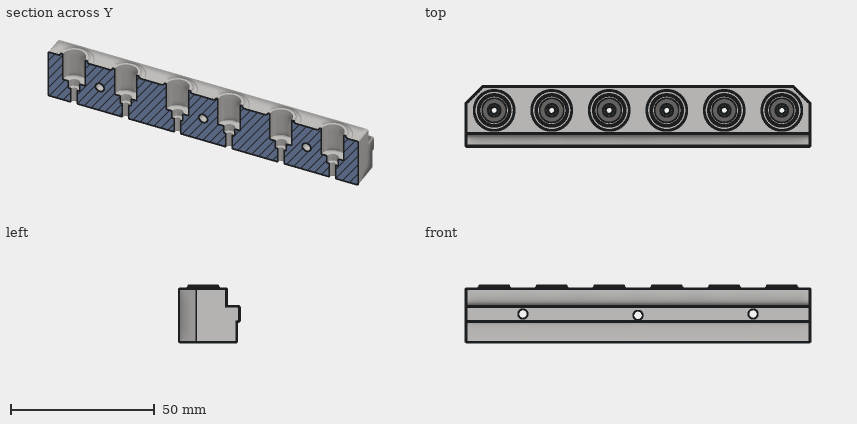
import cadquery as cq

length = 120.0
depth = 21.25
body_height = 19.0
nose_projection = 1.0
upper_depth = 16.75
nose_bottom = 7.1
nose_top = 12.9
corner_cut = 6.0
edge_chamfer = 0.4
nose_chamfer = 0.6

port_count = 6
port_pitch = 20.0
port_from_back = 8.5
collar_height = 1.0
collar_diameter = 10.45
collar_flare = 0.5
groove_diameter = 13.9
groove_depth = 0.2
socket_diameter = 8.45
socket_floor = 9.0
step_diameter = 4.1
step_floor = 6.0
drain_diameter = 2.3
port_chamfer = 0.2

cross_hole_diameter = 3.2
side_hole_offset = 40.0
side_hole_height = 10.0
middle_hole_height = 9.5

lower_depth = depth - nose_projection
collar_top = body_height + collar_height


def make_body():
    """Stepped block with cut back corners and broken edges along the nose."""
    profile = [
        (0, 0),
        (-lower_depth, 0),
        (-lower_depth, nose_bottom),
        (-depth + nose_chamfer, nose_bottom),
        (-depth, nose_bottom + nose_chamfer),
        (-depth, nose_top - nose_chamfer),
        (-depth + nose_chamfer, nose_top),
        (-upper_depth, nose_top),
        (-upper_depth, body_height),
        (0, body_height),
    ]
    block = cq.Workplane("YZ").polyline(profile).close().extrude(length / 2, both=True)
    return block.edges("|Z and >Y").chamfer(corner_cut)


def break_edges(body):
    """Chamfer the end edges, and the long edges of the top and the underside."""
    back_uprights = [edge for edge in body.edges("|Z").vals() if edge.Center().y > -upper_depth / 2]
    outer_edges = body.faces("<X or >X or <Z or >Z").edges().vals()
    broken = [
        edge for edge in outer_edges
        if not any(edge.isSame(upright) for upright in back_uprights)
    ]
    return body.newObject(broken).chamfer(edge_chamfer)


def revolve_port(profile, x):
    """Turn a closed (radius, height) profile around the axis of the port at x."""
    turned = cq.Workplane("XZ").polyline(profile).close().revolve(360, (0, 0), (0, 1))
    return turned.translate((x, -port_from_back, 0))


def make_collar(x):
    radius = collar_diameter / 2
    flare_radius = radius + collar_flare
    profile = [
        (0, body_height - groove_depth),
        (flare_radius, body_height - groove_depth),
        (flare_radius, body_height),
        (radius, body_height + collar_flare),
        (radius, collar_top - port_chamfer),
        (radius - port_chamfer, collar_top),
        (0, collar_top),
    ]
    return revolve_port(profile, x)


def make_groove(x):
    radius = groove_diameter / 2
    profile = [
        (radius - groove_depth, body_height),
        (radius, body_height - groove_depth),
        (radius + groove_depth, body_height),
    ]
    return revolve_port(profile, x)


def make_bore(x):
    """Socket, step and drain as one stepped cutter through the full height."""
    drain_radius = drain_diameter / 2
    step_radius = step_diameter / 2
    socket_radius = socket_diameter / 2
    profile = [
        (0, 0),
        (drain_radius, 0),
        (drain_radius, step_floor - port_chamfer),
        (drain_radius + port_chamfer, step_floor),
        (step_radius, step_floor),
        (step_radius, socket_floor - port_chamfer),
        (step_radius + port_chamfer, socket_floor),
        (socket_radius, socket_floor),
        (socket_radius, collar_top),
        (0, collar_top),
    ]
    return revolve_port(profile, x)


def make_cross_hole(x, z):
    return cq.Workplane("XZ").center(x, z).circle(cross_hole_diameter / 2).extrude(depth)


result = break_edges(make_body())

for index in range(port_count):
    port_x = (index - (port_count - 1) / 2) * port_pitch
    result = result.union(make_collar(port_x)).cut(make_groove(port_x)).cut(make_bore(port_x))

for side in (-1, 1):
    result = result.cut(make_cross_hole(side * side_hole_offset, side_hole_height))
result = result.cut(make_cross_hole(0, middle_hole_height))